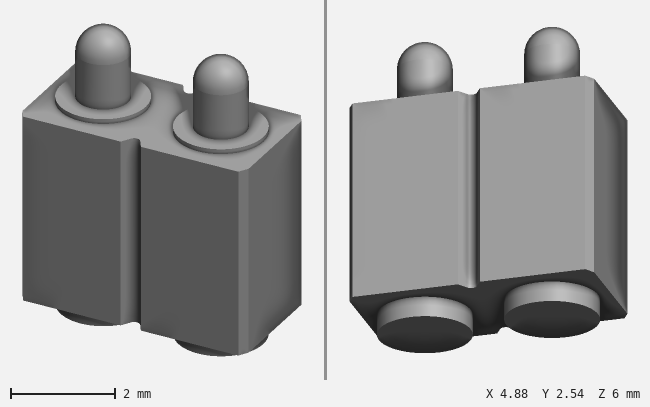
import cadquery as cq
import math

PITCH = 2.54
OVERALL_WIDTH = 4.88
HOUSING_DEPTH = PITCH
BLOCK_WIDTH = OVERALL_WIDTH - PITCH
WEB_WIDTH = PITCH - BLOCK_WIDTH
PIN_AXES = (-PITCH / 2, PITCH / 2)

PIN_HEIGHT = 6.0
HOUSING_BOTTOM = 0.4
HOUSING_TOP = 4.4
BARREL_TOP = 4.5

BARREL_DIAMETER = 1.83
PLUNGER_DIAMETER = 1.07

CHAMFER_X = 0.12
CHAMFER_Y = 0.2
CHAMFER_ANGLE = math.atan2(CHAMFER_Y, CHAMFER_X)


def make_block(axis_x):
    """Chamfered housing block with a through bore for its pin."""
    half_width = BLOCK_WIDTH / 2
    half_depth = HOUSING_DEPTH / 2
    face_x = half_width - CHAMFER_X
    side_y = half_depth - CHAMFER_Y
    outline = [
        (face_x, -half_depth),
        (half_width, -side_y),
        (half_width, side_y),
        (face_x, half_depth),
        (-face_x, half_depth),
        (-half_width, side_y),
        (-half_width, -side_y),
        (-face_x, -half_depth),
    ]
    return (
        cq.Workplane("XY", origin=(axis_x, 0, HOUSING_BOTTOM))
        .polyline(outline)
        .close()
        .circle(BARREL_DIAMETER / 2)
        .extrude(HOUSING_TOP - HOUSING_BOTTOM)
    )


def make_web():
    """Thin wall joining the blocks, its hollow ends tangent to the block chamfers."""
    half_width = WEB_WIDTH / 2
    end_y = HOUSING_DEPTH / 2 - CHAMFER_Y
    arc_rise = half_width * math.tan(CHAMFER_ANGLE / 2)
    hollow_y = end_y - arc_rise
    return (
        cq.Workplane("XY", origin=(0, 0, HOUSING_BOTTOM))
        .moveTo(-half_width, -end_y)
        .threePointArc((0, -hollow_y), (half_width, -end_y))
        .lineTo(half_width, end_y)
        .threePointArc((0, hollow_y), (-half_width, end_y))
        .close()
        .extrude(HOUSING_TOP - HOUSING_BOTTOM)
    )


def make_pin(axis_x):
    """Contact pin: wide barrel below, slim round-tipped plunger above."""
    barrel_radius = BARREL_DIAMETER / 2
    tip_radius = PLUNGER_DIAMETER / 2
    tip_center_z = PIN_HEIGHT - tip_radius
    arc_offset = tip_radius * math.sqrt(0.5)
    return (
        cq.Workplane("XZ", origin=(axis_x, 0, 0))
        .lineTo(barrel_radius, 0)
        .lineTo(barrel_radius, BARREL_TOP)
        .lineTo(tip_radius, BARREL_TOP)
        .lineTo(tip_radius, tip_center_z)
        .threePointArc((arc_offset, tip_center_z + arc_offset), (0, PIN_HEIGHT))
        .close()
        .revolve(360, (0, 0, 0), (0, 1, 0))
    )


blocks = [make_block(axis_x) for axis_x in PIN_AXES]
web = make_web()
pins = [make_pin(axis_x) for axis_x in PIN_AXES]

result = cq.Compound.makeCompound(
    [
        *[block.val() for block in blocks],
        web.val(),
        *[pin.val() for pin in pins],
    ]
)